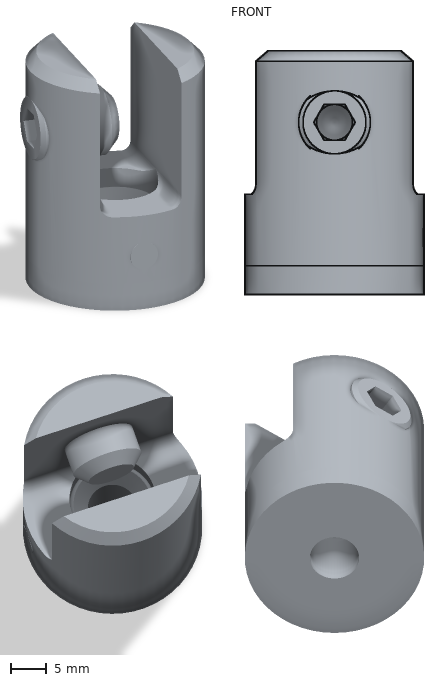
import cadquery as cq
import math


height = 34.0
outer_diameter = 25.0
base_thickness = 4.0
slot_width = 12.0
slot_floor_z = 14.0
slot_corner_radius = 1.5
top_chamfer = 1.5

spigot_diameter = slot_width
spigot_top_z = 11.4
spigot_edge_radius = 0.5
spigot_rim = 0.07
through_hole_diameter = 6.87
countersink_angle = 90.0

clamp_diameter = 10.0
clamp_z = 24.0
clamp_tip_y = -0.5
clamp_tip_chamfer = 1.65
clamp_head_chamfer = 0.6
hex_across_flats = 5.0
hex_depth = 5.0
drill_point_angle = 120.0

grub_diameter = 4.0
grub_z = 8.0

outer_radius = outer_diameter / 2
spigot_radius = spigot_diameter / 2
clamp_length = outer_radius + clamp_tip_y
grub_length = outer_radius - spigot_radius


def clamp_plane():
    """Plane on the outer end of the clamp screw, with its normal pointing into the housing."""
    return cq.Plane(origin=(0, -outer_radius, clamp_z), xDir=(1, 0, 0), normal=(0, 1, 0))


def grub_plane():
    """Plane on the outer end of the grub screw, with its normal pointing into the housing."""
    return cq.Plane(origin=(outer_radius, 0, grub_z), xDir=(0, 1, 0), normal=(-1, 0, 0))


def make_clamp_blank():
    """Clamp screw without its socket: a cylinder chamfered at both ends."""
    blank = cq.Workplane(clamp_plane()).circle(clamp_diameter / 2).extrude(clamp_length)
    blank = blank.faces(">Y").chamfer(clamp_tip_chamfer)
    return blank.faces("<Y").chamfer(clamp_head_chamfer)


def make_grub_screw():
    """Plain screw from the outside of the housing to the spigot."""
    return cq.Workplane(grub_plane()).circle(grub_diameter / 2).extrude(grub_length)


def make_slot():
    """Open-topped slot along X with rounded floor corners."""
    slot = cq.Workplane("XY").workplane(offset=slot_floor_z)
    slot = slot.rect(outer_diameter, slot_width).extrude(height - slot_floor_z)
    return slot.edges("|X and <Z").fillet(slot_corner_radius)


def make_housing():
    """Slotted cylinder with a bore for the spigot and a fitted hole for each screw."""
    body = cq.Workplane("XY").workplane(offset=base_thickness)
    body = body.circle(outer_radius).extrude(height - base_thickness)
    body = body.faces(">Z").chamfer(top_chamfer)
    bore = cq.Workplane("XY").workplane(offset=base_thickness)
    bore = bore.circle(spigot_radius).extrude(slot_floor_z + slot_corner_radius - base_thickness)
    return body.cut(make_slot()).cut(bore).cut(make_clamp_blank()).cut(make_grub_screw())


def make_base():
    """Disc and round-edged spigot, turned as one piece around a countersunk through hole."""
    hole_radius = through_hole_diameter / 2
    rim_radius = spigot_radius - spigot_edge_radius
    sink_radius = rim_radius - spigot_rim
    sink_depth = (sink_radius - hole_radius) / math.tan(math.radians(countersink_angle / 2))
    edge_mid = spigot_edge_radius * math.sin(math.radians(45))
    section = (
        cq.Workplane("XZ")
        .moveTo(hole_radius, 0)
        .lineTo(outer_radius, 0)
        .lineTo(outer_radius, base_thickness)
        .lineTo(spigot_radius, base_thickness)
        .lineTo(spigot_radius, spigot_top_z - spigot_edge_radius)
        .threePointArc(
            (rim_radius + edge_mid, spigot_top_z - spigot_edge_radius + edge_mid),
            (rim_radius, spigot_top_z),
        )
        .lineTo(sink_radius, spigot_top_z)
        .lineTo(hole_radius, spigot_top_z - sink_depth)
        .close()
    )
    return section.revolve(360, (0, 0, 0), (0, 1, 0))


def make_clamp_screw():
    """Clamp screw with a hex socket that ends in a drill point."""
    hex_across_corners = hex_across_flats / math.cos(math.radians(30))
    socket = cq.Workplane(clamp_plane()).polygon(6, hex_across_corners).extrude(hex_depth)
    point_radius = hex_across_flats / 2
    point_depth = point_radius / math.tan(math.radians(drill_point_angle / 2))
    drill_point = cq.Solid.makeCone(
        point_radius,
        0,
        point_depth,
        pnt=cq.Vector(0, hex_depth - outer_radius, clamp_z),
        dir=cq.Vector(0, 1, 0),
    )
    return make_clamp_blank().cut(socket).cut(cq.Workplane(drill_point))


housing = make_housing().solids()
base = make_base()
clamp_screw = make_clamp_screw().solids()
grub_screw = make_grub_screw()

result = cq.Compound.makeCompound([housing.val(), base.val(), clamp_screw.val(), grub_screw.val()])